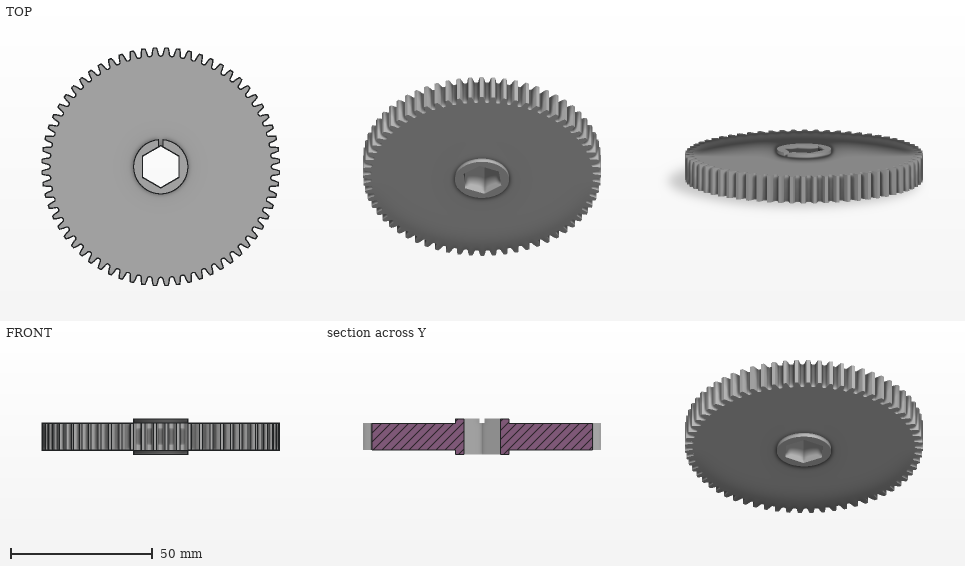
import math

import cadquery as cq

tooth_count = 64
tip_diameter = 83.85
root_diameter = 78.0
pitch_diameter = 81.3
pressure_angle = math.radians(15.5)
pitch_tooth_width = 1.9
root_fillet = 0.7
face_width = 9.55

overall_width = 12.65
hub_diameter = 19.1
hex_across_flats = 12.8
slot_width = 1.7
hex_corner_angle = 30

hub_height = (overall_width - face_width) / 2
tip_radius = tip_diameter / 2
root_radius = root_diameter / 2
pitch_radius = pitch_diameter / 2
base_radius = pitch_radius * math.cos(pressure_angle)
tooth_pitch_angle = 2 * math.pi / tooth_count


def polar(radius, angle):
    return (radius * math.cos(angle), radius * math.sin(angle))


def involute_angle(radius):
    """Polar angle swept by the involute between the base circle and a radius."""
    tangent_angle = math.acos(base_radius / radius)
    return math.tan(tangent_angle) - tangent_angle


def half_tooth_angle(radius):
    """Half the angle a tooth covers at a radius; constant below the base circle."""
    half_angle_at_pitch = pitch_tooth_width / pitch_diameter
    half_angle_at_base = half_angle_at_pitch + involute_angle(pitch_radius)
    return half_angle_at_base - involute_angle(max(radius, base_radius))


def gear_outline():
    """Closed wire around all teeth, with a tooth gap centred on the +X axis.

    Each flank is one arc through its root, pitch and tip points.
    """
    pitch_half = half_tooth_angle(pitch_radius)
    root_half = half_tooth_angle(root_radius)
    tip_half = half_tooth_angle(tip_radius)
    outline = cq.Workplane("XY").moveTo(*polar(root_radius, tooth_pitch_angle / 2 - root_half))
    for index in range(tooth_count):
        center = (index + 0.5) * tooth_pitch_angle
        gap_center = center + tooth_pitch_angle / 2
        rising_pitch = polar(pitch_radius, center - pitch_half)
        rising_tip = polar(tip_radius, center - tip_half)
        falling_tip = polar(tip_radius, center + tip_half)
        falling_pitch = polar(pitch_radius, center + pitch_half)
        falling_root = polar(root_radius, center + root_half)
        next_root = polar(root_radius, center + tooth_pitch_angle - root_half)
        outline = (
            outline.threePointArc(rising_pitch, rising_tip)
            .threePointArc(polar(tip_radius, center), falling_tip)
            .threePointArc(falling_pitch, falling_root)
            .threePointArc(polar(root_radius, gap_center), next_root)
        )
    return outline.close()


def is_root_corner(edge):
    """True for an upright edge where a tooth flank meets the root circle."""
    center = edge.Center()
    return abs(math.hypot(center.x, center.y) - root_radius) < root_fillet / 10


def gear_body():
    body = gear_outline().extrude(face_width / 2, both=True)
    return body.edges("|Z").filter(is_root_corner).fillet(root_fillet)


def hub():
    return cq.Workplane("XY").circle(hub_diameter / 2).extrude(overall_width / 2, both=True)


def hex_bore():
    """Through bore with two flats facing +X and -X."""
    corner_diameter = hex_across_flats / math.cos(math.pi / 6)
    bore = cq.Workplane("XY").polygon(6, corner_diameter).extrude(overall_width / 2, both=True)
    return bore.rotate((0, 0, 0), (0, 0, 1), hex_corner_angle)


def index_slot():
    """Radial slot on the +Y side of the upper hub, cut down to the gear face."""
    return (
        cq.Workplane("XY", origin=(0, 0, face_width / 2))
        .rect(slot_width, hub_diameter / 2, centered=(True, False))
        .extrude(hub_height)
    )


result = gear_body().union(hub()).cut(hex_bore()).cut(index_slot())